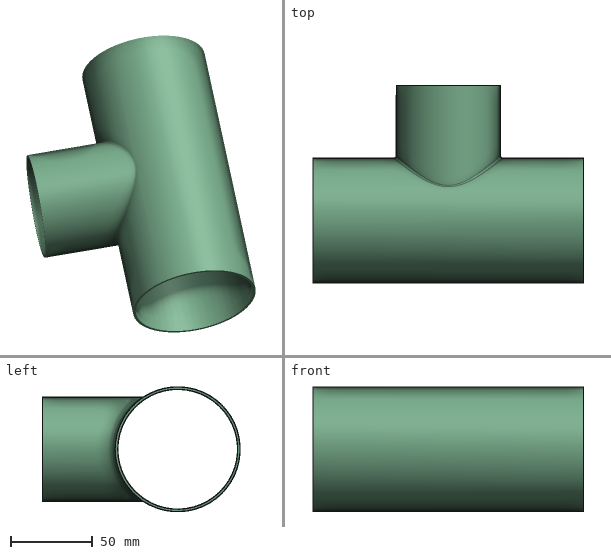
import cadquery as cq

run_length = 165.1
run_diameter = 76.3
wall = 1.7

branch_diameter = 63.5
branch_reach = 82.5

weld_radius = 1.5


def run_cylinder(diameter):
    """Cylinder along X, centred on the origin."""
    return cq.Workplane("YZ").circle(diameter / 2).extrude(run_length / 2, both=True)


def branch_cylinder(diameter):
    """Cylinder along +Y, from the main pipe axis to the branch end."""
    return cq.Workplane("XZ").circle(diameter / 2).extrude(-branch_reach)


def outer_body():
    """Both pipes as solid bars, with the joint between them filleted."""
    body = run_cylinder(run_diameter).union(branch_cylinder(branch_diameter))
    joint_area = cq.selectors.BoxSelector(
        (-branch_diameter / 2, 0.1 * run_diameter, -run_diameter),
        (branch_diameter / 2, 0.6 * run_diameter, run_diameter),
    )
    return body.edges(joint_area).fillet(weld_radius)


run_bore = run_cylinder(run_diameter - 2 * wall)
branch_bore = branch_cylinder(branch_diameter - 2 * wall)

result = outer_body().cut(run_bore).cut(branch_bore)